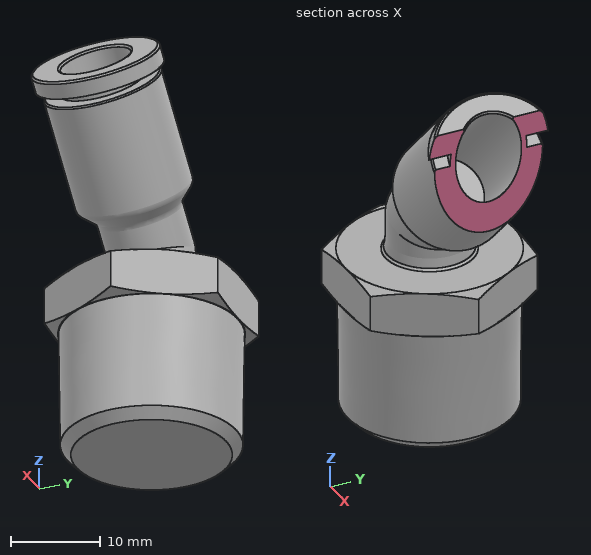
import cadquery as cq
import math

TOTAL_HEIGHT = 46.1
THREAD_TIP_RADIUS = 9.05
THREAD_LOW_RADIUS = 10.25
THREAD_TOP_RADIUS = 10.4
THREAD_CHAMFER_HEIGHT = 1.2
THREAD_LENGTH = 15.0

HEX_ACROSS_FLATS = 21.0
HEX_HEIGHT = 5.5
HEX_CORNER_DROP = 0.55

PIPE_RADIUS = 5.0
FLARE_RADIUS = 5.15
LIP_RADIUS = 5.45
LIP_HEIGHT = 0.28
FLARE_HEIGHT = 1.15
BEND_ANGLE = 45

SOCKET_RADIUS = 6.82
SHOULDER_START = 5.15
SHOULDER_FILLET = 0.9
SOCKET_END = 20.55
SOCKET_CHAMFER = 0.2
SLEEVE_RADIUS = 4.85
COLLAR_START = 21.6
COLLAR_END = 23.6
COLLAR_HALF_WIDTH = 6.5
COLLAR_HALF_LENGTH = 7.55
COLLAR_CHAMFER = 0.25
BORE_RADIUS = 4.1
BORE_CHAMFER = 0.25

HEX_TOP = THREAD_LENGTH + HEX_HEIGHT
COLLAR_EDGE_RISE = (
    COLLAR_END * math.cos(math.radians(BEND_ANGLE))
    + (COLLAR_HALF_WIDTH - COLLAR_CHAMFER) * math.sin(math.radians(BEND_ANGLE))
)
ELBOW_HEIGHT = TOTAL_HEIGHT - COLLAR_EDGE_RISE
HEX_CORNER_RADIUS = HEX_ACROSS_FLATS / 2 / math.cos(math.pi / 6)
SHOULDER_END = SHOULDER_START + SOCKET_RADIUS - PIPE_RADIUS


def revolve_profile(points):
    """Turn (radius, height) points, closed along the Z axis, into a solid."""
    profile = cq.Workplane("XZ").polyline(points).close()
    return profile.revolve(360, (0, 0, 0), (0, 1, 0))


def thread_stem():
    """Tapered thread envelope with a chamfered tip."""
    return revolve_profile([
        (0, 0),
        (THREAD_TIP_RADIUS, 0),
        (THREAD_LOW_RADIUS, THREAD_CHAMFER_HEIGHT),
        (THREAD_TOP_RADIUS, THREAD_LENGTH),
        (0, THREAD_LENGTH),
    ])


def hex_nut():
    """Hexagon with corners on the X axis, both ends turned down to the flats."""
    prism = cq.Workplane("XY").workplane(offset=THREAD_LENGTH)
    prism = prism.polygon(6, 2 * HEX_CORNER_RADIUS).extrude(HEX_HEIGHT)
    face_radius = HEX_ACROSS_FLATS / 2
    envelope = revolve_profile([
        (0, THREAD_LENGTH),
        (face_radius, THREAD_LENGTH),
        (HEX_CORNER_RADIUS, THREAD_LENGTH + HEX_CORNER_DROP),
        (HEX_CORNER_RADIUS, HEX_TOP - HEX_CORNER_DROP),
        (face_radius, HEX_TOP),
        (0, HEX_TOP),
    ])
    return prism.intersect(envelope)


def upright_pipe():
    """Vertical pipe with a flared foot, closed by a ball at the elbow."""
    flare_base = HEX_TOP + LIP_HEIGHT
    pipe = revolve_profile([
        (0, HEX_TOP),
        (LIP_RADIUS, HEX_TOP),
        (FLARE_RADIUS, flare_base),
        (PIPE_RADIUS, flare_base + FLARE_HEIGHT),
        (PIPE_RADIUS, ELBOW_HEIGHT),
        (0, ELBOW_HEIGHT),
    ])
    ball = cq.Workplane("XY").sphere(PIPE_RADIUS).translate((0, 0, ELBOW_HEIGHT))
    return pipe.union(ball)


def socket():
    """Branch pipe widening through a rounded cone into the tube socket."""
    body = revolve_profile([
        (0, 0),
        (PIPE_RADIUS, 0),
        (PIPE_RADIUS, SHOULDER_START),
        (SOCKET_RADIUS, SHOULDER_END),
        (SOCKET_RADIUS, SOCKET_END),
        (0, SOCKET_END),
    ])
    shoulder_edges = body.edges("%CIRCLE").edges("not(<Z or >Z)")
    body = shoulder_edges.fillet(SHOULDER_FILLET)
    return body.faces(">Z").edges().chamfer(SOCKET_CHAMFER)


def release_collar():
    """Sleeve carrying the oval release collar."""
    sleeve = cq.Workplane("XY").workplane(offset=SOCKET_END)
    sleeve = sleeve.circle(SLEEVE_RADIUS).extrude(COLLAR_START - SOCKET_END)
    collar = cq.Workplane("XY").workplane(offset=COLLAR_START)
    collar = collar.ellipse(COLLAR_HALF_WIDTH, COLLAR_HALF_LENGTH)
    collar = collar.extrude(COLLAR_END - COLLAR_START)
    collar = collar.faces(">Z").edges().chamfer(COLLAR_CHAMFER)
    return sleeve.union(collar)


def tube_bore():
    """Blind bore for the tube, as deep as the full-width part of the socket."""
    return revolve_profile([
        (0, SHOULDER_END),
        (BORE_RADIUS, SHOULDER_END),
        (BORE_RADIUS, COLLAR_END - BORE_CHAMFER),
        (BORE_RADIUS + BORE_CHAMFER, COLLAR_END),
        (0, COLLAR_END),
    ])


def tilt_to_branch(shape):
    """Lean a Z-aligned shape toward +X and move it to the elbow centre."""
    return shape.rotate((0, 0, 0), (0, 1, 0), BEND_ANGLE).translate((0, 0, ELBOW_HEIGHT))


branch = socket().union(release_collar())
result = thread_stem().union(hex_nut()).union(upright_pipe())
result = result.union(tilt_to_branch(branch)).cut(tilt_to_branch(tube_bore()))